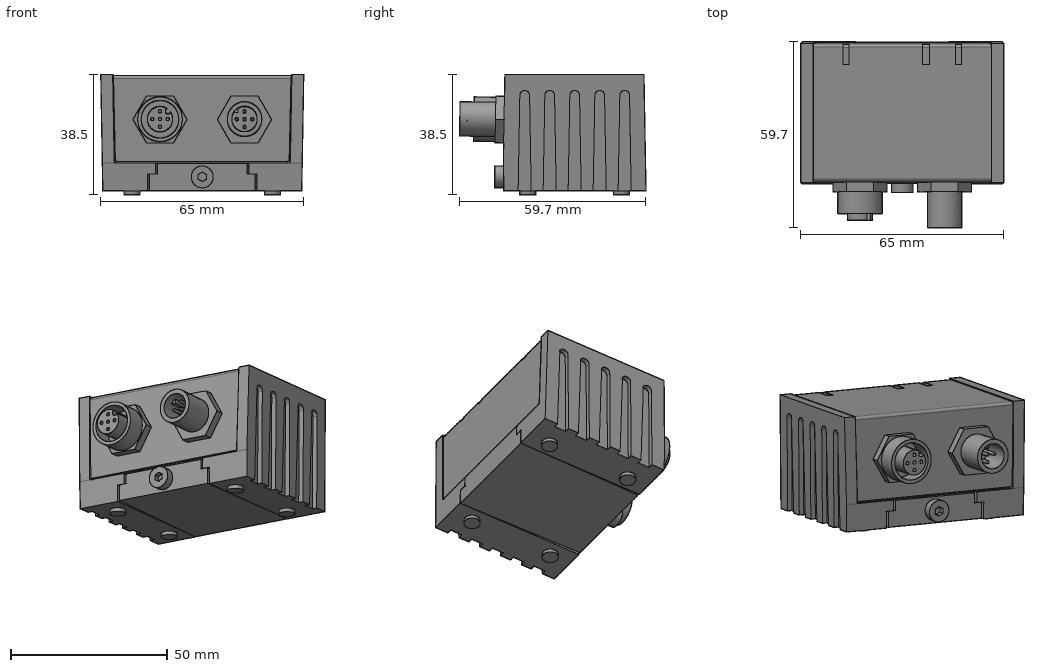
import cadquery as cq
import math

DRAFT = math.tan(math.radians(1.0))
MARGIN = 3.25

WIDTH = 65.0
HEIGHT = 37.25
DEPTH = 45.7
CREST_Z = 9.0
WALL = 3.9
POCKET_RADIUS = 0.5

PAD_TOP_Z = 9.5
PAD_HALF_WIDTH = 27.3
PAD_FRONT_Y = 1.05

GROOVE_COUNT = 5
GROOVE_PITCH = 8.0
GROOVE_DEPTH = 1.6
GROOVE_TOP_Z = 32.1
GROOVE_TOP_RADIUS = 1.55

FOOT_DIAMETER = 5.2
FOOT_HEIGHT = 1.25
FOOT_PITCH_X = 45.0
FOOT_PITCH_Y = 29.95

CHANNEL_TOP_Z = CREST_Z
CHANNEL_STEP_Z = 5.45
CHANNEL_UPPER_HALF = 15.0
CHANNEL_LOWER_HALF = 17.55
SLIDE_GAP = 0.7
SLIDE_FRONT_Y = 0.2
SLIDE_LIFT = 0.2

SCREW_Z = CREST_Z / 2
SCREW_DIAMETER = 7.0
SCREW_LENGTH = 2.9
SCREW_HEX_FLATS = 2.6
SCREW_HEX_DEPTH = 1.95

INSERT_DROP = 0.25
INSERT_INSET = 0.25
INSERT_TOP_GAP = 0.1
INSERT_BOTTOM_GAP = 0.25
INSERT_TOP_RADIUS = 1.0
INSERT_BOTTOM_RADIUS = 0.25
WINDOW_DEPTH = 0.1
WINDOW_FRONT_Y = 38.3
WINDOWS = [(-17.95, 1.95), (7.6, 2.15), (18.0, 1.95)]

CONNECTOR_X = 13.5
CONNECTOR_Z = 22.8
NUT_FLATS = 15.0
NUT_THICKNESS = 3.0
CONTACT_OFFSET = 2.5
CONTACT_DIAMETER = 1.05
INTERFACE_DIAMETER = 8.1
SOCKET_SHELL_DIAMETER = 14.3
SOCKET_SHELL_BORE = 12.0
SOCKET_SHELL_LENGTH = 9.95
SOCKET_CORE_LENGTH = 12.1
SOCKET_HOLE_DEPTH = 3.25
SOCKET_KEY_RADIUS = 0.85
SOCKET_KEY_OFFSET = 3.6
PLUG_DIAMETER = 11.05
PLUG_LENGTH = 14.4
PIN_RECESS = 3.4
PIN_TIP_RADIUS = 0.3
PLUG_KEY_X = 2.0
PLUG_KEY_Z = 2.15


def half_width(z):
    """Half the frame width, which shrinks downwards."""
    return WIDTH / 2 - (HEIGHT - z) * DRAFT


def pocket_half_width(z):
    return half_width(z) - WALL


def front_y(z):
    """Frame front above the crest, leaning back upwards."""
    return (z - CREST_Z) * DRAFT


def back_y(z):
    return DEPTH - z * DRAFT


def prism_along_y(points, y_start, y_end):
    """Solid with an outline in X and Z, running from y_start to y_end."""
    return cq.Workplane("XZ", origin=(0, y_start, 0)).polyline(points).close().extrude(y_start - y_end)


def symmetric_prism(half_at_bottom, z_bottom, half_at_top, z_top):
    points = [
        (-half_at_bottom, z_bottom),
        (half_at_bottom, z_bottom),
        (half_at_top, z_top),
        (-half_at_top, z_top),
    ]
    return prism_along_y(points, -MARGIN, DEPTH + MARGIN)


def side_profile(points):
    """Solid with an outline in Y and Z, wider than the frame."""
    return cq.Workplane("YZ").polyline(points).close().extrude(WIDTH, both=True)


def groove(y):
    """Round-topped groove, widening downwards, cut right across the frame width."""
    spring_z = GROOVE_TOP_Z - GROOVE_TOP_RADIUS
    foot_half = GROOVE_TOP_RADIUS + spring_z * DRAFT
    return (
        cq.Workplane("YZ")
        .moveTo(y - foot_half, 0)
        .lineTo(y - GROOVE_TOP_RADIUS, spring_z)
        .threePointArc((y, GROOVE_TOP_Z), (y + GROOVE_TOP_RADIUS, spring_z))
        .lineTo(y + foot_half, 0)
        .close()
        .extrude(WIDTH, both=True)
    )


def channel_outline(gap, bottom_z, top_z):
    """T outline, narrower than the channel by the gap on each side."""
    upper = CHANNEL_UPPER_HALF - gap
    lower = CHANNEL_LOWER_HALF - gap
    return [
        (-lower, bottom_z),
        (lower, bottom_z),
        (lower, CHANNEL_STEP_Z),
        (upper, CHANNEL_STEP_Z),
        (upper, top_z),
        (-upper, top_z),
        (-upper, CHANNEL_STEP_Z),
        (-lower, CHANNEL_STEP_Z),
    ]


def make_frame():
    skin = symmetric_prism(half_width(0), 0, half_width(HEIGHT), HEIGHT)
    for i in range(GROOVE_COUNT):
        skin = skin.cut(groove(DEPTH / 2 + (i - (GROOVE_COUNT - 1) / 2) * GROOVE_PITCH))
    core = symmetric_prism(half_width(0) - GROOVE_DEPTH, 0, half_width(HEIGHT) - GROOVE_DEPTH, HEIGHT)
    side = side_profile(
        [
            (CREST_Z * DRAFT, 0),
            (0, CREST_Z),
            (front_y(HEIGHT), HEIGHT),
            (back_y(HEIGHT), HEIGHT),
            (back_y(0), 0),
        ]
    )
    frame = skin.union(core).intersect(side)

    pocket_top = HEIGHT + MARGIN
    pocket = symmetric_prism(
        pocket_half_width(CREST_Z), CREST_Z, pocket_half_width(pocket_top), pocket_top
    )
    pocket = pocket.faces("<Z").edges("|Y").fillet(POCKET_RADIUS)
    pad = prism_along_y(
        [
            (-PAD_HALF_WIDTH, CREST_Z),
            (PAD_HALF_WIDTH, CREST_Z),
            (PAD_HALF_WIDTH, PAD_TOP_Z),
            (-PAD_HALF_WIDTH, PAD_TOP_Z),
        ],
        PAD_FRONT_Y,
        DEPTH - PAD_FRONT_Y,
    )
    channel = prism_along_y(channel_outline(0, -MARGIN, CHANNEL_TOP_Z), -MARGIN, DEPTH + MARGIN)
    feet = (
        cq.Workplane("XY", origin=(0, DEPTH / 2, 0))
        .rect(FOOT_PITCH_X, FOOT_PITCH_Y, forConstruction=True)
        .vertices()
        .circle(FOOT_DIAMETER / 2)
        .extrude(-FOOT_HEIGHT)
    )
    return frame.cut(pocket.cut(pad)).cut(channel).union(feet)


def make_insert():
    top_z = HEIGHT - INSERT_DROP
    block = symmetric_prism(
        pocket_half_width(PAD_TOP_Z) - INSERT_BOTTOM_GAP,
        PAD_TOP_Z,
        pocket_half_width(top_z) - INSERT_TOP_GAP,
        top_z,
    )
    side = side_profile(
        [
            (front_y(PAD_TOP_Z) + INSERT_INSET, PAD_TOP_Z),
            (front_y(top_z) + INSERT_INSET, top_z),
            (back_y(top_z) - INSERT_INSET, top_z),
            (back_y(PAD_TOP_Z) - INSERT_INSET, PAD_TOP_Z),
        ]
    )
    insert = block.intersect(side)
    insert = insert.faces(">Z").edges("|X").fillet(INSERT_TOP_RADIUS)
    insert = insert.faces("<Z").edges("|Y").fillet(INSERT_BOTTOM_RADIUS)

    lowered = insert.translate((0, -WINDOW_DEPTH, -WINDOW_DEPTH))
    window_length = DEPTH - WINDOW_FRONT_Y
    for x, width in WINDOWS:
        strip = cq.Workplane("XY").box(
            width, window_length, 2 * INSERT_TOP_RADIUS, centered=(True, False, True)
        )
        strip = strip.translate((x, WINDOW_FRONT_Y, top_z))
        insert = insert.cut(strip.cut(lowered))
    return insert


def make_slide():
    """T-shaped slide with the head of its clamping screw."""
    length = back_y(CREST_Z) - SLIDE_FRONT_Y
    slide = (
        cq.Workplane("XZ", origin=(0, SLIDE_FRONT_Y, 0))
        .polyline(channel_outline(SLIDE_GAP, SLIDE_LIFT, CHANNEL_TOP_Z - SLIDE_LIFT))
        .close()
        .workplane(offset=-length)
        .polyline(channel_outline(0, 0, CHANNEL_TOP_Z))
        .close()
        .loft(ruled=True)
    )
    head = (
        cq.Workplane("XZ", origin=(0, SLIDE_FRONT_Y, SCREW_Z))
        .circle(SCREW_DIAMETER / 2)
        .extrude(SCREW_LENGTH)
    )
    hexagon = (
        cq.Workplane("XZ", origin=(0, SLIDE_FRONT_Y - SCREW_LENGTH, SCREW_Z))
        .transformed(rotate=(0, 0, 90))
        .polygon(6, SCREW_HEX_FLATS / math.cos(math.pi / 6))
        .extrude(-SCREW_HEX_DEPTH)
    )
    return slide.union(head).cut(hexagon)


def cylinder(diameter, start, end):
    """Cylinder on the connector axis, between two distances from the insert front."""
    return cq.Workplane("XZ", origin=(0, -start, 0)).circle(diameter / 2).extrude(end - start)


def make_nut():
    return cq.Workplane("XZ").polygon(6, NUT_FLATS / math.cos(math.pi / 6)).extrude(NUT_THICKNESS)


def contacts(start, end):
    """Five contact cylinders: one on the axis and four around it."""
    places = [
        (0, 0),
        (CONTACT_OFFSET, 0),
        (-CONTACT_OFFSET, 0),
        (0, CONTACT_OFFSET),
        (0, -CONTACT_OFFSET),
    ]
    return (
        cq.Workplane("XZ", origin=(0, -start, 0))
        .pushPoints(places)
        .circle(CONTACT_DIAMETER / 2)
        .extrude(end - start)
    )


def place_connector(connector, x):
    """Seat a connector on the insert front, tilted to stand square to it."""
    seat_y = front_y(CONNECTOR_Z) + INSERT_INSET
    tilt = -math.degrees(math.atan(DRAFT))
    return connector.rotate((0, 0, 0), (1, 0, 0), tilt).translate((x, seat_y, CONNECTOR_Z))


def make_socket_connector():
    shell = cylinder(SOCKET_SHELL_DIAMETER, NUT_THICKNESS, SOCKET_SHELL_LENGTH)
    shell = shell.cut(cylinder(SOCKET_SHELL_BORE, NUT_THICKNESS, SOCKET_SHELL_LENGTH))
    core = cylinder(INTERFACE_DIAMETER, NUT_THICKNESS, SOCKET_CORE_LENGTH)
    core = core.cut(contacts(SOCKET_CORE_LENGTH - SOCKET_HOLE_DEPTH, SOCKET_CORE_LENGTH))
    key_place = SOCKET_KEY_OFFSET * math.cos(math.pi / 4)
    key = cylinder(2 * SOCKET_KEY_RADIUS, NUT_THICKNESS, SOCKET_CORE_LENGTH)
    core = core.cut(key.translate((key_place, 0, key_place)))
    return place_connector(make_nut().union(shell).union(core), -CONNECTOR_X)


def make_plug_connector():
    bore = cylinder(INTERFACE_DIAMETER, NUT_THICKNESS, PLUG_LENGTH)
    shell = cylinder(PLUG_DIAMETER, NUT_THICKNESS, PLUG_LENGTH).cut(bore)
    pin_end = PLUG_LENGTH - PIN_RECESS
    pins = contacts(NUT_THICKNESS, pin_end).faces("<Y").edges().fillet(PIN_TIP_RADIUS)
    key_size = INTERFACE_DIAMETER / 2
    key = cq.Workplane("XY").box(key_size, pin_end - NUT_THICKNESS, key_size, centered=False)
    key = key.translate((-PLUG_KEY_X - key_size, -pin_end, PLUG_KEY_Z)).intersect(bore)
    return place_connector(make_nut().union(shell).union(pins).union(key), CONNECTOR_X)


frame = make_frame()
insert = make_insert()
slide = make_slide()
socket_connector = make_socket_connector()
plug_connector = make_plug_connector()

result = cq.Compound.makeCompound(
    [frame.val(), insert.val(), slide.val(), socket_connector.val(), plug_connector.val()]
)